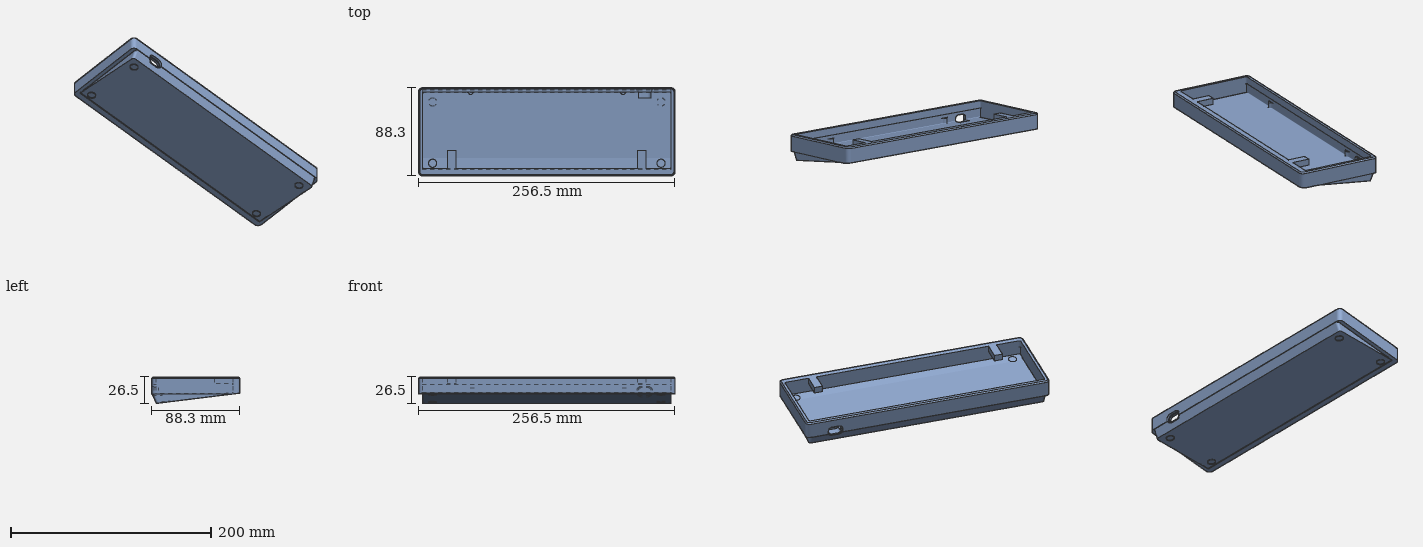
import cadquery as cq
import math

LENGTH = 256.5
WIDTH = 88.3
TOTAL_HEIGHT = 26.5
FRAME_HEIGHT = 17.0
CORNER_RADIUS = 4.4
RIM_CHAMFER = 1.3

SIDE_WALL = 4.0
BACK_WALL = 4.4
FRONT_WALL = 7.2
OPENING_CORNER_RADIUS = 1.5

TAB_WIDTH = 8.5
TAB_LENGTH = 18.5
TAB_THICKNESS = 6.5
TAB_OFFSET = 95.0

TILT_DEGREES = 7.0
WEDGE_BACK_INSET = 0.38
WEDGE_CORNER_RADIUS = 2.5
HEEL_INSET = 4.5

FLOOR_HEIGHT = 0.3
RAMP_LENGTH = 10.3
UPSTAND_TOP_DEPTH = 7.5
UPSTAND_THICKNESS = 2.0
ROOT_FILLET = 0.5

NUB_OFFSET = 76.2
NUB_HOLLOW_RADIUS = 2.5
NUB_CROWN_RADIUS = 2.0
NUB_FLANK_DEGREES = 65.0
NUB_HEIGHT = 6.0

SLOT_OFFSET = 97.8
SLOT_WIDTH = 13.3
SLOT_BOTTOM = -1.5
SLOT_TOP = 6.5
SLOT_CORNER_RADIUS = 3.5
SLOT_CLEARANCE = 1.3
SLOT_REACH = 6.2

FOOT_DIAMETER = 8.2
FOOT_DEPTH = 1.0
FOOT_OFFSET = 114.2
FOOT_FRONT_Y = -31.5
FOOT_BACK_Y = 29.8

PICK_MARGIN = 0.03

BACK_Y = WIDTH / 2
FRONT_Y = -WIDTH / 2
OPENING_LENGTH = LENGTH - 2 * SIDE_WALL
OPENING_BACK_Y = BACK_Y - BACK_WALL
OPENING_FRONT_Y = FRONT_Y + FRONT_WALL
UPSTAND_TOP = FRAME_HEIGHT - UPSTAND_TOP_DEPTH
UPSTAND_BACK_Y = OPENING_BACK_Y + UPSTAND_THICKNESS
SLOPE = math.tan(math.radians(TILT_DEGREES))
HEEL_Y = BACK_Y - HEEL_INSET
HEEL_Z = FRAME_HEIGHT - TOTAL_HEIGHT
RAMP_END_Y = OPENING_FRONT_Y + RAMP_LENGTH
RAMP_TOP = FLOOR_HEIGHT + RAMP_LENGTH * SLOPE


def underside_height(y):
    """Height of the tilted underside at a given Y."""
    return HEEL_Z + (HEEL_Y - y) * SLOPE


def block(length, y_start, y_end, z_start, z_end, x_centre=0.0):
    """Box centred on x_centre between the given Y and Z limits."""
    box = cq.Workplane("XY").box(length, y_end - y_start, z_end - z_start, centered=(True, False, False))
    return box.translate((x_centre, y_start, z_start))


def extrude_along_x(points, length):
    """Prism of a (Y, Z) outline, centred on X = 0."""
    return cq.Workplane("YZ").polyline(points).close().extrude(length / 2, both=True)


def below_underside():
    """Everything under the tilted underside."""
    low = HEEL_Z - TOTAL_HEIGHT
    return extrude_along_x(
        [
            (-WIDTH, underside_height(-WIDTH)),
            (WIDTH, underside_height(WIDTH)),
            (WIDTH, low),
            (-WIDTH, low),
        ],
        2 * LENGTH,
    )


def cable_slot(y_start, clearance=0.0):
    """Round-cornered slot running out through the back, widened all round by the clearance."""
    slot = block(
        SLOT_WIDTH + 2 * clearance,
        y_start,
        BACK_Y,
        SLOT_BOTTOM - clearance,
        SLOT_TOP + clearance,
        SLOT_OFFSET,
    )
    return slot.edges("|Y").fillet(SLOT_CORNER_RADIUS + clearance)


def make_frame():
    """Open rectangular frame with two tabs and a rear rabbet for the upstand."""
    frame = block(LENGTH, FRONT_Y, BACK_Y, 0, FRAME_HEIGHT).edges("|Z").fillet(CORNER_RADIUS)
    frame = frame.faces(">Z").edges().chamfer(RIM_CHAMFER)
    opening = block(OPENING_LENGTH, OPENING_FRONT_Y, OPENING_BACK_Y, 0, FRAME_HEIGHT)
    frame = frame.cut(opening.edges("|Z").fillet(OPENING_CORNER_RADIUS))
    frame = frame.cut(block(OPENING_LENGTH, OPENING_FRONT_Y, UPSTAND_BACK_Y, 0, UPSTAND_TOP))
    for side in (-1, 1):
        tab = block(
            TAB_WIDTH,
            OPENING_FRONT_Y - FRONT_WALL / 2,
            OPENING_FRONT_Y + TAB_LENGTH,
            FRAME_HEIGHT - TAB_THICKNESS,
            FRAME_HEIGHT,
            side * TAB_OFFSET,
        )
        frame = frame.union(tab)
    return frame.cut(below_underside()).cut(cable_slot(UPSTAND_BACK_Y, SLOT_CLEARANCE))


def make_wedge():
    """Wedge under the frame, with a leaning back face and rounded back corners."""
    wedge = extrude_along_x(
        [
            (FRONT_Y, 0),
            (BACK_Y - WEDGE_BACK_INSET, 0),
            (HEEL_Y, HEEL_Z),
            (FRONT_Y, HEEL_Z),
        ],
        OPENING_LENGTH,
    )
    wedge = wedge.faces(">Y").edges("not |X").fillet(WEDGE_CORNER_RADIUS)
    return wedge.cut(below_underside())


def make_nub(side):
    """Bell-shaped nub: a crown arc between two hollow arcs that run tangent into the upstand."""
    flank = math.radians(NUB_FLANK_DEGREES)
    hollow_run = NUB_HOLLOW_RADIUS * math.sin(flank)
    hollow_rise = NUB_HOLLOW_RADIUS * (1 - math.cos(flank))
    mid_rise = NUB_HOLLOW_RADIUS * (1 - math.cos(flank / 2))
    crown_run = NUB_CROWN_RADIUS * math.sin(flank)
    crown_rise = NUB_CROWN_RADIUS * (1 - math.cos(flank))
    half_width = hollow_run + crown_run
    mid_x = half_width - NUB_HOLLOW_RADIUS * math.sin(flank / 2)
    return (
        cq.Workplane("XY", origin=(side * NUB_OFFSET, OPENING_BACK_Y, 0))
        .moveTo(-half_width, 0)
        .threePointArc((-mid_x, -mid_rise), (-crown_run, -hollow_rise))
        .threePointArc((0, -hollow_rise - crown_rise), (crown_run, -hollow_rise))
        .threePointArc((mid_x, -mid_rise), (half_width, 0))
        .close()
        .extrude(FLOOR_HEIGHT + NUB_HEIGHT)
    )


def make_foot_recess(x, y):
    """Disc square to the tilted underside, sunk into it by the foot depth."""
    foot = cq.Workplane("XY").circle(FOOT_DIAMETER / 2).extrude(FOOT_DEPTH, both=True)
    foot = foot.rotate((0, 0, 0), (1, 0, 0), -TILT_DEGREES)
    return foot.translate((x, y, underside_height(y)))


def make_base():
    """Wedge with floor, front ramp, rear upstand, nubs, cable channel and foot recesses."""
    floor = extrude_along_x(
        [
            (OPENING_FRONT_Y, underside_height(OPENING_FRONT_Y)),
            (OPENING_FRONT_Y, RAMP_TOP),
            (RAMP_END_Y, FLOOR_HEIGHT),
            (UPSTAND_BACK_Y, FLOOR_HEIGHT),
            (UPSTAND_BACK_Y, underside_height(OPENING_FRONT_Y)),
        ],
        OPENING_LENGTH,
    )
    base = make_wedge().union(floor)
    base = base.union(block(OPENING_LENGTH, OPENING_BACK_Y, UPSTAND_BACK_Y, 0, UPSTAND_TOP))
    for side in (-1, 1):
        base = base.union(make_nub(side))

    root_edges = cq.selectors.BoxSelector(
        (-LENGTH, OPENING_BACK_Y - SLOT_REACH, FLOOR_HEIGHT - PICK_MARGIN),
        (LENGTH, OPENING_BACK_Y + PICK_MARGIN, FLOOR_HEIGHT + PICK_MARGIN),
        boundingbox=True,
    )
    base = base.edges(root_edges).fillet(ROOT_FILLET)

    base = base.cut(cable_slot(OPENING_BACK_Y - SLOT_REACH))
    base = base.cut(cable_slot(UPSTAND_BACK_Y, SLOT_CLEARANCE))
    for x in (-FOOT_OFFSET, FOOT_OFFSET):
        for y in (FOOT_FRONT_Y, FOOT_BACK_Y):
            base = base.cut(make_foot_recess(x, y))
    return base


frame = make_frame()
base = make_base()
result = cq.Compound.makeCompound([frame.val(), base.val()])